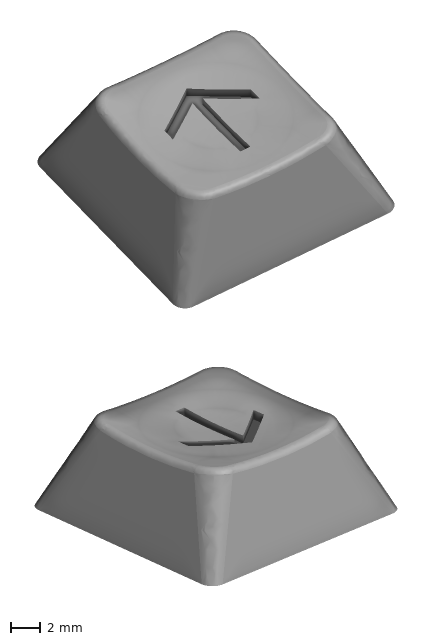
import cadquery as cq

BASE_SIDE = 18.0
BASE_CORNER_RADIUS = 1.0
CROWN_SIDE = 12.1
CROWN_CORNER_RADIUS = 2.0
CROWN_HEIGHT = 7.38

DISH_RADIUS = 38.34
DISH_FLOOR_HEIGHT = 5.98
RIM_FILLET_RADIUS = 0.6

ARROW_SPAN = 7.1
ARROW_SHAFT_WIDTH = 0.83
ARROW_HEAD_LENGTH = 2.54
ARROW_BARB_WIDTH = 1.03
ARROW_DEPTH = 0.54


def rounded_square(side, corner_radius):
    return cq.Sketch().rect(side, side).vertices().fillet(corner_radius)


def tapered_body():
    base = rounded_square(BASE_SIDE, BASE_CORNER_RADIUS)
    crown = rounded_square(CROWN_SIDE, CROWN_CORNER_RADIUS)
    raised_crown = crown.moved(cq.Location(cq.Vector(0, 0, CROWN_HEIGHT)))
    return cq.Workplane("XY").placeSketch(base, raised_crown).loft(ruled=True)


def add_dish(body):
    sphere_center_height = DISH_FLOOR_HEIGHT + DISH_RADIUS
    sphere = cq.Workplane("XY").sphere(DISH_RADIUS).translate((0, 0, sphere_center_height))
    dished = body.cut(sphere)
    return dished.faces("%SPHERE").edges().fillet(RIM_FILLET_RADIUS)


def arrow_pocket():
    half_span = ARROW_SPAN / 2
    half_shaft = ARROW_SHAFT_WIDTH / 2
    tip_x = -half_span
    barb_outer_x = tip_x + ARROW_HEAD_LENGTH
    barb_inner_x = barb_outer_x + ARROW_BARB_WIDTH
    notch_x = tip_x + ARROW_BARB_WIDTH + half_shaft * ARROW_HEAD_LENGTH / half_span
    upper_half = [
        (barb_outer_x, half_span),
        (barb_inner_x, half_span),
        (notch_x, half_shaft),
        (half_span, half_shaft),
    ]
    lower_half = [(x, -y) for x, y in reversed(upper_half)]
    outline = [(tip_x, 0)] + upper_half + lower_half
    pocket_floor_height = DISH_FLOOR_HEIGHT - ARROW_DEPTH
    floor_plane = cq.Workplane("XY", origin=(0, 0, pocket_floor_height))
    return floor_plane.polyline(outline).close().extrude(CROWN_HEIGHT - pocket_floor_height)


result = add_dish(tapered_body()).cut(arrow_pocket())